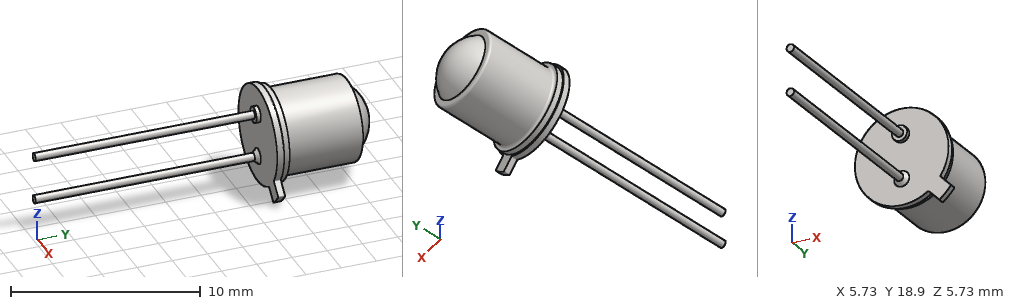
import cadquery as cq
import math

overall_length = 18.86
lead_length = 12.7
dome_tip = overall_length - lead_length

flange_radius = 2.8
flange_thickness = 0.4
step_radius = 2.68
step_top = 0.75
body_radius = 2.4
body_top = 5.07
foot_fillet = 0.13
rim_fillet = 0.13

dome_base_radius = 1.96
dome_height = dome_tip - body_top
dome_radius = (dome_base_radius**2 + dome_height**2) / (2 * dome_height)

tab_width = 1.0
tab_tip_radius = 3.7
tab_angle = 45.0
tab_root_fillet = 0.05
tab_corner_fillet = 0.05

lead_pitch = 2.55
lead_radius = 0.23
collar_radius = 0.45
collar_length = 0.25


def make_can():
    """Revolve the stepped can, with its domed lens, about the Y axis."""
    arc_cos = math.sqrt(0.5)
    foot_mid = foot_fillet * (1 - arc_cos)
    rim_mid = rim_fillet * (1 - arc_cos)
    half_angle = math.asin(dome_base_radius / dome_radius) / 2
    dome_mid = (
        dome_radius * math.sin(half_angle),
        dome_tip - dome_radius * (1 - math.cos(half_angle)),
    )
    return (
        cq.Workplane("XY")
        .lineTo(step_radius, 0)
        .lineTo(step_radius, step_top)
        .lineTo(body_radius + foot_fillet, step_top)
        .threePointArc(
            (body_radius + foot_mid, step_top + foot_mid),
            (body_radius, step_top + foot_fillet),
        )
        .lineTo(body_radius, body_top - rim_fillet)
        .threePointArc(
            (body_radius - rim_mid, body_top - rim_mid),
            (body_radius - rim_fillet, body_top),
        )
        .lineTo(dome_base_radius, body_top)
        .threePointArc(dome_mid, (0, dome_tip))
        .close()
        .revolve(360, (0, 0, 0), (0, 1, 0))
    )


def make_tabbed_flange():
    """Flange disc with a round-ended radial tab blended into its rim."""
    half_width = tab_width / 2
    root_distance = math.sqrt(flange_radius**2 - half_width**2)
    corner_distance = math.sqrt(tab_tip_radius**2 - half_width**2)
    tab = (
        cq.Workplane("XZ")
        .moveTo(0, -half_width)
        .lineTo(corner_distance, -half_width)
        .threePointArc((tab_tip_radius, 0), (corner_distance, half_width))
        .lineTo(0, half_width)
        .close()
        .extrude(-flange_thickness)
        .edges("|Y")
        .edges(">X")
        .fillet(tab_corner_fillet)
    )
    disc = cq.Workplane("XZ").circle(flange_radius).extrude(-flange_thickness)
    root_edges = cq.selectors.BoxSelector(
        (root_distance - tab_root_fillet, 0, -tab_width),
        (root_distance + tab_root_fillet, flange_thickness, tab_width),
    )
    flange = disc.union(tab).edges("|Y").edges(root_edges).fillet(tab_root_fillet)
    return flange.rotate((0, 0, 0), (0, 1, 0), tab_angle)


def make_lead(height, collar_tip_radius):
    """Round lead along -Y whose collar narrows to collar_tip_radius."""
    wire = cq.Solid.makeCylinder(lead_radius, lead_length, cq.Vector(0, 0, height), cq.Vector(0, -1, 0))
    collar = (
        cq.Workplane("XY")
        .lineTo(collar_radius, 0)
        .lineTo(collar_tip_radius, -collar_length)
        .lineTo(0, -collar_length)
        .close()
        .revolve(360, (0, 0, 0), (0, 1, 0))
        .translate((0, 0, height))
    )
    return collar.union(cq.Workplane(wire))


upper_lead = make_lead(lead_pitch / 2, collar_radius)
lower_lead = make_lead(-lead_pitch / 2, lead_radius)

result = make_tabbed_flange().union(make_can()).union(upper_lead).union(lower_lead)